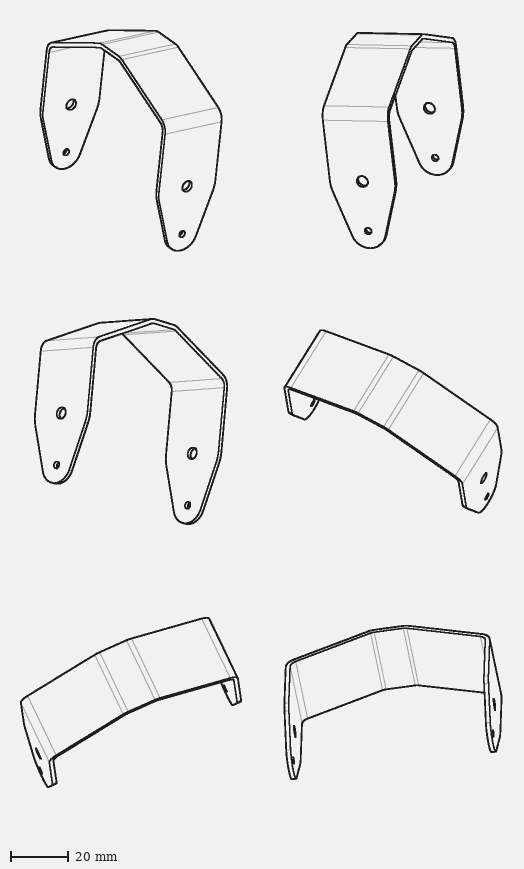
import cadquery as cq

span = 72.15
thickness = 1.6
strap_width = 24.2
tilt_angle = 6.6

crown_width = 12.3
shoulder_drop = 13.2
outer_bend_radius = 4.7
inner_bend_radius = outer_bend_radius - thickness

taper_depth = 41.0
taper_corner_radius = 13.0
tip_radius = 6.4
large_hole_diameter = 4.05
large_hole_depth = 39.05
small_hole_diameter = 2.4
small_hole_depth = 57.5
leg_length = small_hole_depth + tip_radius


def bent_strap():
    """Constant-width sheet following crown, slopes and legs."""
    half_span = span / 2
    half_crown = crown_width / 2
    outer_outline = (
        cq.Workplane("XZ")
        .moveTo(-half_span, -leg_length)
        .lineTo(-half_span, -shoulder_drop)
        .lineTo(-half_crown, 0)
        .lineTo(half_crown, 0)
        .lineTo(half_span, -shoulder_drop)
        .lineTo(half_span, -leg_length)
        .close()
    )
    outer = outer_outline.extrude(strap_width / 2, both=True)
    bend_edges = cq.selectors.BoxSelector(
        (-span, -strap_width, -shoulder_drop - thickness), (span, strap_width, thickness)
    )
    inner = (
        cq.Workplane("XZ")
        .polyline([
            (-half_span, -leg_length - 2 * thickness),
            (-half_span, -shoulder_drop),
            (-half_crown, 0),
            (half_crown, 0),
            (half_span, -shoulder_drop),
            (half_span, -leg_length - 2 * thickness),
        ])
        .close()
        .offset2D(-thickness)
        .extrude(strap_width / 2, both=True)
    )
    outer = outer.edges("|Y").edges(bend_edges).fillet(outer_bend_radius)
    inner = inner.edges("|Y").edges(bend_edges).fillet(inner_bend_radius)
    return outer.cut(inner)


def leg_outline():
    """Side silhouette: full-width strap tapering tangentially to a round tip."""
    half_width = strap_width / 2
    tip_rise = small_hole_depth - taper_depth
    corner_distance_squared = half_width**2 + tip_rise**2
    tangent_length = (corner_distance_squared - tip_radius**2) ** 0.5
    along = tip_radius**2 / corner_distance_squared
    across = tip_radius * tangent_length / corner_distance_squared
    tangent_y = along * half_width + across * tip_rise
    tangent_z = -small_hole_depth + along * tip_rise - across * half_width
    outline = (
        cq.Workplane("YZ")
        .moveTo(-half_width, 0)
        .lineTo(-half_width, -taper_depth)
        .lineTo(-tangent_y, tangent_z)
        .threePointArc((0, -leg_length), (tangent_y, tangent_z))
        .lineTo(half_width, -taper_depth)
        .lineTo(half_width, 0)
        .close()
        .extrude(span / 2, both=True)
    )
    corner_edges = cq.selectors.BoxSelector(
        (-span, -strap_width, -taper_depth - thickness),
        (span, strap_width, -taper_depth + thickness),
    )
    return outline.edges("|X").edges(corner_edges).fillet(taper_corner_radius)


def cross_hole(diameter, depth):
    """Pin through both legs on the strap's centre plane."""
    return (
        cq.Workplane("YZ")
        .center(0, -depth)
        .circle(diameter / 2)
        .extrude(span, both=True)
    )


strap = bent_strap().intersect(leg_outline())
strap = strap.cut(cross_hole(large_hole_diameter, large_hole_depth))
strap = strap.cut(cross_hole(small_hole_diameter, small_hole_depth))
result = strap.rotate((0, 0, 0), (1, 0, 0), -tilt_angle)